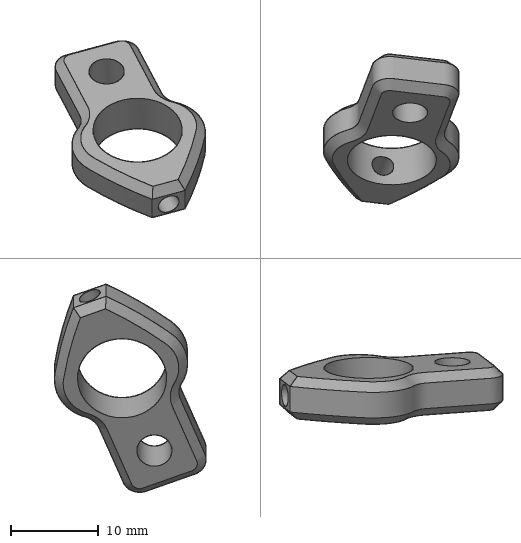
import cadquery as cq
import math

length = 25.0
thickness = 5.0
edge_chamfer = 1.0

tab_half_width = 5.0
tab_corner_radius = 2.0
tab_side_end_x = 9.5
tab_hole_x = 5.0
tab_hole_diameter = 4.0

width = 15.58
lobe_radius = 5.0
lobe_end_angle = math.radians(60)
neck_fillet_radius = 2.5

bore_x = 15.0
bore_diameter = 10.15
cross_hole_diameter = 2.52

tip_half_width = 2.0

lobe_y = width / 2 - lobe_radius
neck_y = tab_half_width + neck_fillet_radius
center_distance = lobe_radius + neck_fillet_radius
lobe_x = tab_side_end_x + math.sqrt(center_distance**2 - (neck_y - lobe_y) ** 2)
neck_angle = math.atan2(neck_y - lobe_y, tab_side_end_x - lobe_x)


def lobe_point(angle):
    """Point on the +Y lobe arc at an angle measured from +X."""
    return (lobe_x + lobe_radius * math.cos(angle), lobe_y + lobe_radius * math.sin(angle))


def make_half_body():
    """Extruded +Y half of the outline, with a square tab corner."""
    return (
        cq.Workplane("XY")
        .moveTo(0, 0)
        .lineTo(0, tab_half_width)
        .lineTo(tab_side_end_x, tab_half_width)
        .tangentArcPoint(lobe_point(neck_angle), relative=False)
        .threePointArc(lobe_point(math.pi / 2), lobe_point(lobe_end_angle))
        .tangentArcPoint((length, tip_half_width), relative=False)
        .lineTo(length, 0)
        .close()
        .extrude(thickness)
    )


def make_body():
    """Full symmetric body with rounded tab corners and chamfered rims."""
    half_body = make_half_body()
    body = half_body.union(half_body.mirror("XZ")).clean()
    body = body.edges("|Z and <X").fillet(tab_corner_radius)
    return body.faces("<Z or >Z").edges().chamfer(edge_chamfer)


def make_vertical_hole(x, diameter):
    """Through cylinder along Z, centered on the X axis."""
    return cq.Workplane("XY").center(x, 0).circle(diameter / 2).extrude(thickness)


def make_cross_hole():
    """Cylinder along X at mid thickness, from the bore center to the tip face."""
    return (
        cq.Workplane("YZ", origin=(bore_x, 0, thickness / 2))
        .circle(cross_hole_diameter / 2)
        .extrude(length - bore_x)
    )


result = (
    make_body()
    .cut(make_vertical_hole(tab_hole_x, tab_hole_diameter))
    .cut(make_vertical_hole(bore_x, bore_diameter))
    .cut(make_cross_hole())
)